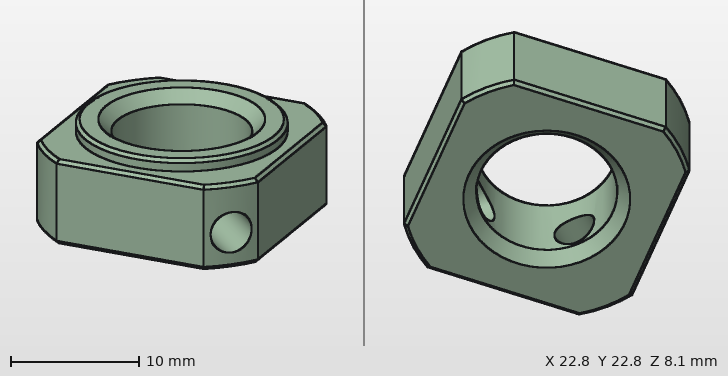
import cadquery as cq

corner_diameter = 22.8
across_flats = 19.0
body_height = 7.1
edge_chamfer = 0.3

boss_diameter = 16.5
boss_height = 1.0

bore_diameter = 11.0
flare_diameter = 13.0

radial_hole_diameter = 3.4
radial_hole_height = 2.99

total_height = body_height + boss_height
flare_depth = (flare_diameter - bore_diameter) / 2


def make_body():
    """Square turned 45 degrees, rounded at the corners and chamfered at both ends."""
    square = (
        cq.Workplane("XY")
        .rect(across_flats, across_flats)
        .extrude(body_height)
        .rotate((0, 0, 0), (0, 0, 1), 45)
    )
    round_blank = cq.Workplane("XY").circle(corner_diameter / 2).extrude(body_height)
    return square.intersect(round_blank).faces("<Z or >Z").chamfer(edge_chamfer)


def make_boss():
    """Boss with a chamfered top edge."""
    return (
        cq.Workplane("XY", origin=(0, 0, body_height))
        .circle(boss_diameter / 2)
        .extrude(boss_height)
        .faces(">Z")
        .chamfer(edge_chamfer)
    )


def make_bore():
    """Revolved cutter for the bore and its two flares."""
    bore_radius = bore_diameter / 2
    flare_radius = flare_diameter / 2
    return (
        cq.Workplane("XZ")
        .moveTo(0, 0)
        .lineTo(flare_radius, 0)
        .lineTo(bore_radius, flare_depth)
        .lineTo(bore_radius, total_height - flare_depth)
        .lineTo(flare_radius, total_height)
        .lineTo(0, total_height)
        .close()
        .revolve(360, (0, 0, 0), (0, 1, 0))
    )


def make_radial_hole(direction):
    """Cutter running from the bore axis out through one corner."""
    start = cq.Vector(0, 0, radial_hole_height)
    cutter = cq.Solid.makeCylinder(
        radial_hole_diameter / 2, corner_diameter, start, cq.Vector(*direction)
    )
    return cq.Workplane(cutter)


result = make_body().union(make_boss()).cut(make_bore())
for direction in [(1, 0, 0), (0, 1, 0)]:
    result = result.cut(make_radial_hole(direction))